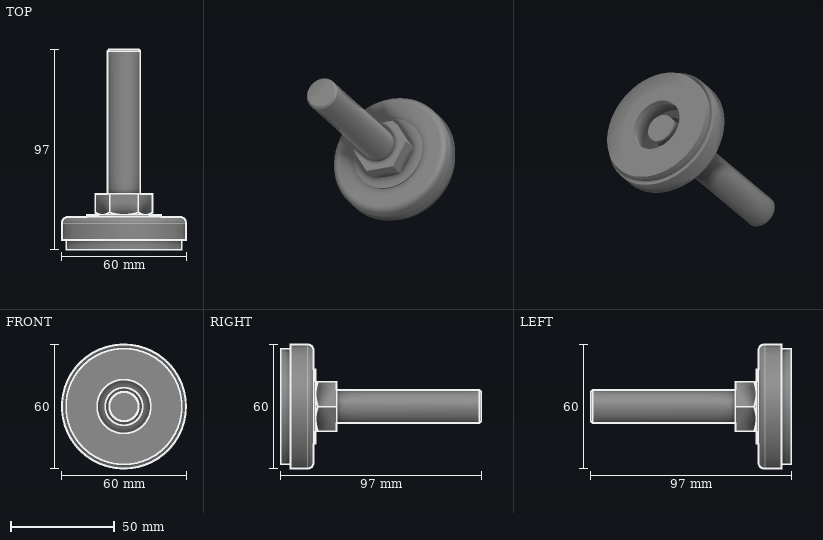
import cadquery as cq
import math

total_length = 97.0
stud_end_y = 3.6
flange_bottom_y = 4.7
housing_rim_y = 4.9
recess_floor_y = 10.7
housing_top_y = 16.0
washer_top_y = 17.0
hex_top_y = 27.1

pad_diameter = 56.0
pad_bore_diameter = 26.0

housing_diameter = 60.0
housing_hole_diameter = 18.1
housing_edge_radius = 3.0

washer_diameter = 36.0
washer_bore_diameter = 14.4

shank_diameter = 14.0
stud_diameter = 16.0
stud_chamfer = 1.0
hex_across_flats = 24.1
hex_chamfer_angle = 30.0


def cylinder(diameter, start_y, end_y):
    """Cylinder about the Y axis between two levels."""
    return (
        cq.Workplane("XZ", origin=(0, start_y, 0))
        .circle(diameter / 2)
        .extrude(start_y - end_y)
    )


def make_pad():
    """Ring that fills the housing cup, with a thin flange under the housing rim."""
    body = cylinder(pad_diameter, 0, recess_floor_y)
    body = body.union(cylinder(housing_diameter, flange_bottom_y, housing_rim_y))
    return body.cut(cylinder(pad_bore_diameter, 0, recess_floor_y))


def make_housing():
    """Downward-facing cup with a rounded upper edge."""
    body = cylinder(housing_diameter, housing_rim_y, housing_top_y)
    body = body.faces(">Y").edges().fillet(housing_edge_radius)
    body = body.cut(cylinder(pad_diameter, housing_rim_y, recess_floor_y))
    return body.cut(cylinder(housing_hole_diameter, recess_floor_y, housing_top_y))


def make_washer():
    """Plain washer between the housing and the hexagon."""
    body = cylinder(washer_diameter, housing_top_y, washer_top_y)
    return body.cut(cylinder(washer_bore_diameter, housing_top_y, washer_top_y))


def make_hexagon():
    """Hexagon with corners on the X axis and its lower corners chamfered."""
    height = hex_top_y - washer_top_y
    corner_diameter = hex_across_flats / math.cos(math.radians(30))
    prism = (
        cq.Workplane("XZ", origin=(0, washer_top_y, 0))
        .polygon(6, corner_diameter)
        .extrude(-height)
    )
    chamfer_width = (corner_diameter - hex_across_flats) / 2
    chamfer_height = chamfer_width * math.tan(math.radians(hex_chamfer_angle))
    envelope = (
        cylinder(corner_diameter, washer_top_y, hex_top_y)
        .faces("<Y")
        .edges()
        .chamfer(chamfer_height, chamfer_width)
    )
    return prism.intersect(envelope)


def make_spindle():
    """Threaded stud, hexagon and lower shank in one piece."""
    stud = cylinder(stud_diameter, hex_top_y, total_length)
    stud = stud.faces(">Y").edges().chamfer(stud_chamfer)
    shank = cylinder(shank_diameter, stud_end_y, washer_top_y)
    return make_hexagon().union(stud).union(shank)


pad = make_pad()
housing = make_housing()
washer = make_washer()
spindle = make_spindle()

result = cq.Compound.makeCompound([pad.val(), housing.val(), washer.val(), spindle.val()])